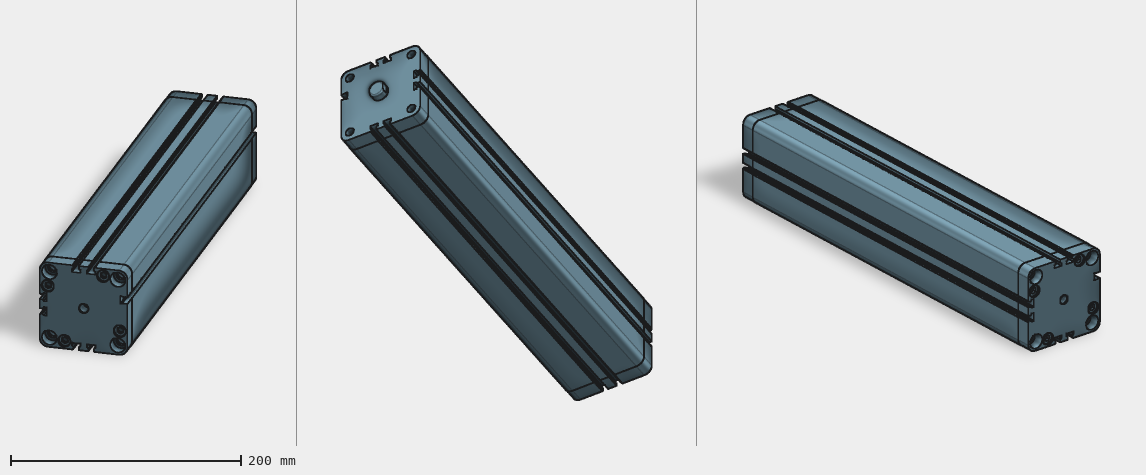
import cadquery as cq

total_length = 407.5
side = 80.0
half_side = side / 2
stub_length = 7.7
body_length = total_length - stub_length
corner_radius = 7.7

cap_length = 14.0
cap_inset = 0.15
half_cap = half_side - cap_inset
middle_length = body_length - 2 * cap_length

slot_spacing = 13.5
slot_mouth = 5.0
slot_width = 7.7
slot_lip = 3.0
slot_flare = 1.2
slot_depth = 6.5
rim_chamfer_width = 1.2
rim_chamfer_depth = 1.0

sensor_slot_height = 12.2
sensor_slot_mouth = 6.0
sensor_slot_width = 7.0
sensor_slot_lip = 5.0
sensor_slot_flare = 0.5

corner_hole_offset = 31.0
cap_hole_diameter = 8.5
corner_hole_diameter = 8.0
counterbore_diameter = 13.5
counterbore_depth = 10.0

screw_along = 17.5
screw_out = 32.5
screw_rim_diameter = 11.0
screw_rim_depth = 1.0
screw_recess_diameter = 10.5
screw_recess_depth = 2.0
socket_diameter = 6.0
socket_depth = 3.3

centre_mouth_diameter = 8.5
centre_mouth_depth = 1.2
centre_hole_diameter = 8.0
centre_hole_depth = 13.5

stub_diameter = 16.0
tip_radius = 1.5
flats_width = 13.5
flats_length = 5.7
shoulder_slope = 1.5


def end_plane(y=0.0):
    """Sketch plane square to Y, with local x = X and local y = Z."""
    return cq.Workplane("XZ", origin=(0, y, 0))


def turned(shape, angle):
    """Shape rotated about the long axis; +90 carries the top face to +X."""
    return shape.rotate((0, 0, 0), (0, 1, 0), angle)


def drill(points, diameter, depth):
    """Round cutters going from the front face into the body."""
    return end_plane().pushPoints(points).circle(diameter / 2).extrude(-depth)


def rounded_bar(half_width, start, length):
    """Square bar along Y with rounded long edges."""
    width = 2 * half_width
    bar = end_plane(start).rect(width, width).extrude(-length)
    return bar.edges("|Y").fillet(corner_radius)


def t_slot(offset, mouth, width, lip, flare):
    """Full-length cutter for one undercut slot in the top face, centred at x = offset."""
    lip_z = half_side - lip
    flare_z = lip_z - flare
    right_side = [
        (mouth / 2, half_side),
        (mouth / 2, lip_z),
        (width / 2, flare_z),
        (width / 2, half_side - slot_depth),
    ]
    left_side = [(-x, z) for x, z in reversed(right_side)]
    outline = [(offset + x, z) for x, z in right_side + left_side]
    return end_plane().polyline(outline).close().extrude(-body_length)


def slot_pair():
    """Two T-slots in the top face, with their outer rims chamfered."""
    pair = cq.Workplane()
    rim_z = half_cap - rim_chamfer_depth
    for sign in (-1, 1):
        center = sign * slot_spacing / 2
        rim = center + sign * slot_mouth / 2
        chamfer_outline = [
            (rim + sign * rim_chamfer_width, half_side),
            (rim, rim_z),
            (center, rim_z),
            (center, half_side),
        ]
        chamfer = end_plane().polyline(chamfer_outline).close().extrude(-body_length)
        slot = t_slot(center, slot_mouth, slot_width, slot_lip, slot_flare)
        pair = pair.add(slot.union(chamfer))
    return pair.combine()


def socket_screw(x, z):
    """Cutter for a stepped screw recess with a hexagon socket in its floor."""
    center = [(x, z)]
    rim = drill(center, screw_rim_diameter, screw_rim_depth)
    recess = drill(center, screw_recess_diameter, screw_recess_depth)
    socket = turned(
        end_plane().polygon(6, socket_diameter).extrude(-(screw_recess_depth + socket_depth)), 90
    )
    return recess.union(rim).union(socket.translate((x, 0, z)))


def rear_stub():
    """Round stub on the rear face, rounded at the tip, with slope-ended flats facing -X and +X."""
    stub = end_plane(body_length).circle(stub_diameter / 2).extrude(-stub_length)
    stub = stub.faces(">Y").edges().fillet(tip_radius)
    flat_x = flats_width / 2
    shoulder_y = total_length - flats_length
    outline = [
        (flat_x, total_length),
        (flat_x, shoulder_y),
        (flat_x + shoulder_slope, shoulder_y - shoulder_slope),
        (flat_x + shoulder_slope, total_length),
    ]
    flat = cq.Workplane("XY").polyline(outline).close().extrude(stub_diameter / 2, both=True)
    return stub.cut(flat).cut(flat.mirror("YZ"))


body = rounded_bar(half_cap, 0, body_length)
body = body.union(rounded_bar(half_side, cap_length, middle_length))

for angle in (0, 180, -90):
    body = body.cut(turned(slot_pair(), angle))

sensor_slot = t_slot(
    -sensor_slot_height, sensor_slot_mouth, sensor_slot_width, sensor_slot_lip, sensor_slot_flare
)
body = body.cut(turned(sensor_slot, 90))

corners = [(x * corner_hole_offset, z * corner_hole_offset) for x in (-1, 1) for z in (-1, 1)]
body = body.cut(drill(corners, corner_hole_diameter, body_length))
body = body.cut(drill(corners, cap_hole_diameter, cap_length))
body = body.cut(drill(corners, counterbore_diameter, counterbore_depth))
body = body.cut(drill([(0, 0)], centre_mouth_diameter, centre_mouth_depth))
body = body.cut(drill([(0, 0)], centre_hole_diameter, centre_hole_depth))
screw_centers = [
    (screw_along, screw_out),
    (screw_out, -screw_along),
    (-screw_along, -screw_out),
    (-screw_out, screw_along),
]
for x, z in screw_centers:
    body = body.cut(socket_screw(x, z))

result = body.union(rear_stub()).translate((0, -total_length / 2, 0))